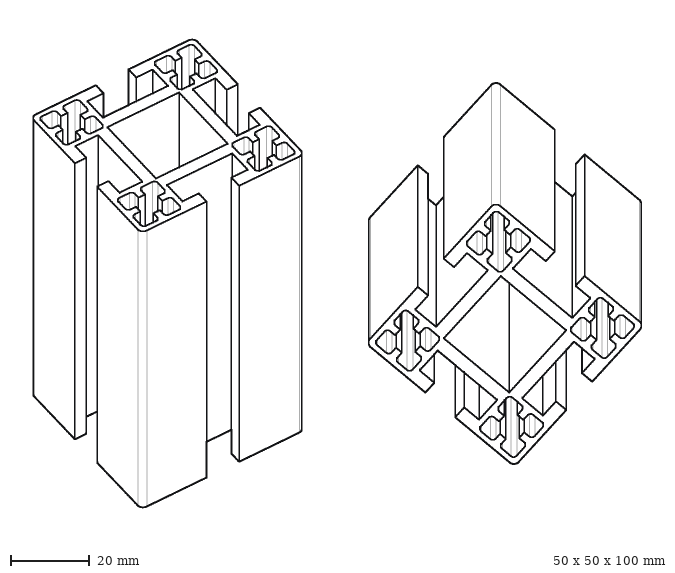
import cadquery as cq

side = 50.0
length = 100.0
corner_radius = 1.6

slot_opening = 10.0
slot_width = 20.0
lip_thickness = 3.5

bore_side = 22.0
core_wall = 3.5
slot_depth = (side - bore_side) / 2 - core_wall

chamber_wall = 1.5
chamber_side = (side - slot_width) / 2 - 2 * chamber_wall
chamber_offset = side / 2 - chamber_wall - chamber_side / 2
chamber_radius = 1.0
rib_width = 2.0
rib_tip_gap = 6.7


def bar(width, depth):
    """Full-length rectangular bar centred on the profile axis."""
    return cq.Workplane("XY").rect(width, depth).extrude(length)


def t_slot():
    """T-slot cutter for the +Y side: narrow mouth opening into a wide channel."""
    outer = side / 2
    mouth = bar(slot_opening, lip_thickness).translate((0, outer - lip_thickness / 2, 0))
    channel_depth = slot_depth - lip_thickness
    channel_center = outer - lip_thickness - channel_depth / 2
    channel = bar(slot_width, channel_depth).translate((0, channel_center, 0))
    return mouth.union(channel)


def corner_chamber():
    """Chamber cutter: four rounded lobes joined by a square opening between the rib tips."""
    lobe_side = (chamber_side - rib_width) / 2
    lobe_pitch = lobe_side + rib_width
    lobes = (
        cq.Workplane("XY")
        .rarray(lobe_pitch, lobe_pitch, 2, 2)
        .rect(lobe_side, lobe_side)
        .extrude(length)
        .edges("|Z")
        .fillet(chamber_radius)
    )
    return lobes.union(bar(rib_tip_gap, rib_tip_gap))


profile = bar(side, side).edges("|Z").fillet(corner_radius)
profile = profile.cut(bar(bore_side, bore_side))

for quarter_turn in range(4):
    slot = t_slot().rotate((0, 0, 0), (0, 0, 1), 90 * quarter_turn)
    profile = profile.cut(slot)

for x in (-chamber_offset, chamber_offset):
    for y in (-chamber_offset, chamber_offset):
        profile = profile.cut(corner_chamber().translate((x, y, 0)))

result = profile